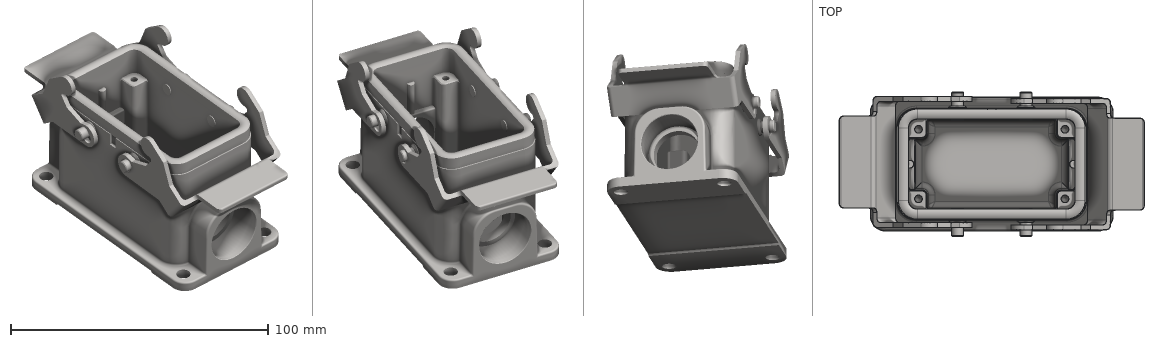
import cadquery as cq
import math

FLANGE_LENGTH = 94.4
FLANGE_WIDTH = 52.1
FLANGE_HEIGHT = 4.0
FLANGE_CORNER_RADIUS = 6.2
FLANGE_EDGE_RADIUS = 0.7
MOUNT_HOLE_DIAMETER = 5.6
MOUNT_HOLE_X = 41.0
MOUNT_HOLE_Y = 20.6
FOOT_RELIEF_HALF_LENGTH = 27.8
FOOT_RELIEF_HEIGHT = 0.7

BODY_LENGTH = 73.9
BODY_WIDTH = 43.6
BODY_CORNER_RADIUS = 7.7
BODY_TOP = 48.1
BODY_DRAFT_ANGLE = 0.2
LIP_LENGTH = 72.6
LIP_WIDTH = 42.8
LIP_CORNER_RADIUS = 7.4
LIP_WALL = 3.9
LIP_EDGE_Z = 53.1
LIP_CROWN_Z = 53.7

FLOOR_Z = 3.5
FLOOR_RADIUS = 2.5
CAVITY_BREAK_Z = 20.9
UPPER_DRAFT_ANGLE = 0.3
LOWER_DRAFT_ANGLE = 1.4
POST_DRAFT_ANGLE = 1.0
POST_TOP = 41.7
POST_FACE_X = 25.1
POST_FACE_Y = 10.1
POST_CORNER_RADIUS = 1.9
POST_TOP_CHAMFER = 0.4
PAD_TOP_RADIUS = 0.6
POST_ROOT_RADIUS = 1.0
POST_HOLE_X = 28.5
POST_HOLE_Y = 13.5
POST_HOLE_DIAMETER = 3.0
POST_HOLE_DEPTH = 11.9
DRILL_POINT_ANGLE = 118.0
PAD_FACE_X = 30.0
PAD_TOP = 27.9
RIB_DIAMETER = 3.0
RIB_X = 31.8

ENTRY_HALF_WIDTH = 14.1
ENTRY_FOOT_HALF_WIDTH = 14.6
ENTRY_SHOULDER_Z = 21.6
ENTRY_SHOULDER_RADIUS = 10.0
ENTRY_EDGE_RADIUS = 0.8

ROOT_RADIUS = 0.7

BORE_Z = 17.0
BORE_DIAMETER = 18.5
COUNTERBORE_DIAMETER = 22.5
COUNTERBORE_DEPTH = 13.0
COUNTERBORE_CHAMFER = 0.2

NOTCH_WIDTH = 3.3
NOTCH_BOTTOM = 43.2
NOTCH_DEPTH = 1.1

PIN_DIAMETER = 4.7
PIN_X = 13.3
PIN_Z = 43.8
PIN_SPAN = 56.1
PIN_TIP_CHAMFER = 0.4
PIN_INNER_Y = 17.2
COLLAR_DIAMETER = 7.0
COLLAR_FACE_Y = 22.7
COLLAR_CHAMFER = 0.7

SHEET = 1.9
LEVER_WIDTH = 51.0
LEVER_SHIFT_Y = 0.8
LEVER_TILT = 0.8
HOOK_X = 25.0
HOOK_Z = 59.4
HOOK_RADIUS = 4.0
EYE_X = 12.5
EYE_Z = 42.6
EYE_RADIUS = 4.9
SLOT_END_X = 12.0
SLOT_END_Z = 41.9
WEB_FOOT_X = 38.9
WEB_FOOT_Z = 32.8
WEB_LENGTH = 12.1
WEB_LEAN = 36.9
WEB_CORNER_RADIUS = 1.9
HANDLE_END_X = 59.3
HANDLE_TOP_Z = 45.1
HANDLE_WIDTH = 35.8
HANDLE_CORNER_RADIUS = 1.9
HANDLE_END_RADIUS = 0.7
BEND_TOP_RADIUS = 2.6
BEND_UNDERSIDE_RADIUS = 1.4
HANDLE_FLARE_RADIUS = 1.8


def rounded_rectangle(length, width, radius):
    return cq.Sketch().rect(length, width).vertices().fillet(radius)


def make_flange():
    return (
        cq.Workplane("XY")
        .placeSketch(rounded_rectangle(FLANGE_LENGTH, FLANGE_WIDTH, FLANGE_CORNER_RADIUS))
        .extrude(FLANGE_HEIGHT)
        .faces(">Z").edges().fillet(FLANGE_EDGE_RADIUS)
    )


def make_foot_relief():
    """Shallow recess across the underside of the flange, with sloping ends."""
    relief_foot = FOOT_RELIEF_HALF_LENGTH + FOOT_RELIEF_HEIGHT
    return (
        cq.Workplane("XZ")
        .polyline([
            (-relief_foot, 0),
            (relief_foot, 0),
            (FOOT_RELIEF_HALF_LENGTH, FOOT_RELIEF_HEIGHT),
            (-FOOT_RELIEF_HALF_LENGTH, FOOT_RELIEF_HEIGHT),
        ])
        .close()
        .extrude(FLANGE_WIDTH / 2, both=True)
    )


def make_body():
    return (
        cq.Workplane("XY", origin=(0, 0, FLANGE_HEIGHT))
        .placeSketch(rounded_rectangle(BODY_LENGTH, BODY_WIDTH, BODY_CORNER_RADIUS))
        .extrude(BODY_TOP - FLANGE_HEIGHT, taper=BODY_DRAFT_ANGLE)
    )


def make_lip():
    """Ring around the opening with a domed crown, swept along the middle of its wall."""
    half_x = (LIP_LENGTH - LIP_WALL) / 2
    half_y = (LIP_WIDTH - LIP_WALL) / 2
    radius = LIP_CORNER_RADIUS - LIP_WALL / 2
    path = (
        cq.Workplane("XY", origin=(0, 0, BODY_TOP))
        .moveTo(0, -half_y)
        .lineTo(half_x - radius, -half_y)
        .tangentArcPoint((half_x, radius - half_y), relative=False)
        .lineTo(half_x, half_y - radius)
        .tangentArcPoint((half_x - radius, half_y), relative=False)
        .lineTo(radius - half_x, half_y)
        .tangentArcPoint((-half_x, half_y - radius), relative=False)
        .lineTo(-half_x, radius - half_y)
        .tangentArcPoint((radius - half_x, -half_y), relative=False)
        .close()
    )
    profile = (
        cq.Workplane("YZ")
        .moveTo(-half_y - LIP_WALL / 2, BODY_TOP)
        .lineTo(-half_y - LIP_WALL / 2, LIP_EDGE_Z)
        .threePointArc((-half_y, LIP_CROWN_Z), (-half_y + LIP_WALL / 2, LIP_EDGE_Z))
        .lineTo(-half_y + LIP_WALL / 2, BODY_TOP)
        .close()
    )
    return profile.sweep(path)


def make_entry(end):
    """Cable entry boss on the end of the housing at x = end * FLANGE_LENGTH / 2."""
    flat_half = ENTRY_HALF_WIDTH - ENTRY_SHOULDER_RADIUS
    top_z = ENTRY_SHOULDER_Z + ENTRY_SHOULDER_RADIUS
    boss = (
        cq.Workplane("YZ")
        .moveTo(-ENTRY_FOOT_HALF_WIDTH, 0)
        .lineTo(ENTRY_FOOT_HALF_WIDTH, 0)
        .lineTo(ENTRY_HALF_WIDTH, ENTRY_SHOULDER_Z)
        .radiusArc((flat_half, top_z), -ENTRY_SHOULDER_RADIUS)
        .lineTo(-flat_half, top_z)
        .radiusArc((-ENTRY_HALF_WIDTH, ENTRY_SHOULDER_Z), -ENTRY_SHOULDER_RADIUS)
        .close()
        .extrude(end * FLANGE_LENGTH / 2)
    )
    outer_face = ">X" if end > 0 else "<X"
    return boss.faces(outer_face).edges("not <Z").fillet(ENTRY_EDGE_RADIUS)


def make_post(x_side, y_side):
    """Drafted corner post that carries a screw hole."""
    length = BODY_LENGTH / 2 - POST_FACE_X
    width = BODY_WIDTH / 2 - POST_FACE_Y
    post = (
        cq.Workplane("XY")
        .placeSketch(rounded_rectangle(length, width, POST_CORNER_RADIUS))
        .extrude(-POST_TOP, taper=-POST_DRAFT_ANGLE)
        .faces(">Z").edges().chamfer(POST_TOP_CHAMFER)
    )
    return post.translate((x_side * (POST_FACE_X + length / 2), y_side * (POST_FACE_Y + width / 2), POST_TOP))


def make_pad(x_side):
    """Drafted thickening of the end wall around the cable bore, from post to post."""
    depth = BODY_LENGTH / 2 - PAD_FACE_X
    pad = (
        cq.Workplane("XY")
        .rect(depth, 2 * POST_FACE_Y + 2 * POST_CORNER_RADIUS)
        .extrude(-PAD_TOP, taper=-POST_DRAFT_ANGLE)
        .faces(">Z").edges("|Y").fillet(PAD_TOP_RADIUS)
    )
    return pad.translate((x_side * (PAD_FACE_X + depth / 2), 0, PAD_TOP))


def root_edges():
    """Inside corners between flange and body, flange and entries, and body and entries."""
    half_x = BODY_LENGTH / 2
    half_y = BODY_WIDTH / 2
    margin = 0.4
    entry_top = ENTRY_SHOULDER_Z + ENTRY_SHOULDER_RADIUS
    edges = cq.selectors.BoxSelector(
        (-FLANGE_LENGTH / 2 + 2 * ENTRY_EDGE_RADIUS, -half_y - margin, FLANGE_HEIGHT - margin),
        (FLANGE_LENGTH / 2 - 2 * ENTRY_EDGE_RADIUS, half_y + margin, FLANGE_HEIGHT + margin),
    )
    for end in (-1, 1):
        edges = edges + cq.selectors.BoxSelector(
            (end * (half_x - margin), -half_y, FLANGE_HEIGHT - margin),
            (end * (half_x + margin), half_y, entry_top + margin),
            boundingbox=True,
        )
    return edges


def make_cavity():
    """Space inside the housing, leaving the corner posts, end pads and end ribs standing."""
    length = LIP_LENGTH - 2 * LIP_WALL
    width = LIP_WIDTH - 2 * LIP_WALL
    radius = LIP_CORNER_RADIUS - LIP_WALL
    upper_depth = BODY_TOP - CAVITY_BREAK_Z
    inset = upper_depth * math.tan(math.radians(UPPER_DRAFT_ANGLE))
    cavity = (
        cq.Workplane("XY", origin=(0, 0, BODY_TOP))
        .placeSketch(rounded_rectangle(length, width, radius))
        .extrude(-upper_depth, taper=UPPER_DRAFT_ANGLE)
    )
    lower_cavity = (
        cq.Workplane("XY", origin=(0, 0, CAVITY_BREAK_Z))
        .placeSketch(rounded_rectangle(length - 2 * inset, width - 2 * inset, radius - inset))
        .extrude(FLOOR_Z - CAVITY_BREAK_Z, taper=LOWER_DRAFT_ANGLE)
    )
    cavity = cavity.union(lower_cavity)
    for x_side in (-1, 1):
        cavity = cavity.cut(make_pad(x_side))
        for y_side in (-1, 1):
            cavity = cavity.cut(make_post(x_side, y_side))
    for x_side in (-1, 1):
        for y_side in (-1, 1):
            beside_long_wall = cq.selectors.BoxSelector(
                (x_side * (POST_FACE_X - 1.2), y_side * (width / 2 - 1.2), FLOOR_Z),
                (x_side * (POST_FACE_X + 1.2), y_side * (width / 2 + 1.2), POST_TOP - 1.2),
            )
            beside_end_wall = cq.selectors.BoxSelector(
                (x_side * (length / 2 - 1.2), y_side * (POST_FACE_Y - 1.2), PAD_TOP + 1.2),
                (x_side * (length / 2 + 1.2), y_side * (POST_FACE_Y + 1.2), POST_TOP - 1.2),
            )
            cavity = cavity.edges(beside_long_wall + beside_end_wall).fillet(POST_ROOT_RADIUS)
    cavity = cavity.faces("<Z").edges().fillet(FLOOR_RADIUS)
    ribs = (
        cq.Workplane("XY")
        .pushPoints([(-RIB_X, 0), (RIB_X, 0)])
        .circle(RIB_DIAMETER / 2)
        .extrude(POST_TOP)
    )
    return cavity.cut(ribs)


def make_bores():
    """Cable bore through the whole length and a counterbore in each end."""
    half = FLANGE_LENGTH / 2
    counterbore_radius = COUNTERBORE_DIAMETER / 2
    profile = [
        (-half, 0),
        (-half, counterbore_radius + COUNTERBORE_CHAMFER),
        (-half + COUNTERBORE_CHAMFER, counterbore_radius),
        (-half + COUNTERBORE_DEPTH, counterbore_radius),
        (-half + COUNTERBORE_DEPTH, BORE_DIAMETER / 2),
    ]
    mirrored = [(-x, y) for x, y in reversed(profile)]
    return (
        cq.Workplane("XY")
        .polyline(profile + mirrored)
        .close()
        .revolve(360, (0, 0), (1, 0))
        .translate((0, 0, BORE_Z))
    )


def make_post_holes():
    """Blind screw holes with a drill point in the tops of the corner posts."""
    radius = POST_HOLE_DIAMETER / 2
    point_depth = radius / math.tan(math.radians(DRILL_POINT_ANGLE / 2))
    hole = (
        cq.Workplane("XZ")
        .polyline([
            (0, POST_TOP),
            (radius, POST_TOP),
            (radius, POST_TOP - POST_HOLE_DEPTH),
            (0, POST_TOP - POST_HOLE_DEPTH - point_depth),
        ])
        .close()
        .revolve(360, (0, 0), (0, 1))
    )
    places = cq.Workplane("XY").rect(2 * POST_HOLE_X, 2 * POST_HOLE_Y, forConstruction=True).vertices()
    return places.eachpoint(lambda place: hole.val().moved(place), combine=False)


def make_mount_holes():
    return (
        cq.Workplane("XY")
        .rect(2 * MOUNT_HOLE_X, 2 * MOUNT_HOLE_Y, forConstruction=True)
        .vertices()
        .circle(MOUNT_HOLE_DIAMETER / 2)
        .extrude(FLANGE_HEIGHT)
    )


def make_notch(side):
    notch_outer_y = BODY_WIDTH / 2
    top_half_width = notch_outer_y - (BODY_TOP - FLANGE_HEIGHT) * math.tan(math.radians(BODY_DRAFT_ANGLE))
    inner_y = top_half_width - NOTCH_DEPTH
    return (
        cq.Workplane("XY")
        .box(NOTCH_WIDTH, notch_outer_y - inner_y, BODY_TOP - NOTCH_BOTTOM, centered=(True, True, False))
        .translate((0, side * (notch_outer_y + inner_y) / 2, NOTCH_BOTTOM))
    )


def make_pin(x_side, y_side):
    """Pivot pin through the housing wall with a chamfered tip and a collar outside the wall."""
    pin_radius = PIN_DIAMETER / 2
    tip_y = PIN_SPAN / 2
    collar_radius = COLLAR_DIAMETER / 2
    profile = [
        (0, PIN_INNER_Y),
        (pin_radius, PIN_INNER_Y),
        (pin_radius, BODY_WIDTH / 2 - LIP_WALL),
        (collar_radius, BODY_WIDTH / 2 - LIP_WALL),
        (collar_radius, COLLAR_FACE_Y - COLLAR_CHAMFER),
        (collar_radius - COLLAR_CHAMFER, COLLAR_FACE_Y),
        (pin_radius, COLLAR_FACE_Y),
        (pin_radius, tip_y - PIN_TIP_CHAMFER),
        (pin_radius - PIN_TIP_CHAMFER, tip_y),
        (0, tip_y),
    ]
    pin = cq.Workplane("XY").polyline(profile).close().revolve(360, (0, 0), (0, 1))
    if y_side < 0:
        pin = pin.mirror("XZ")
    return pin.translate((x_side * PIN_X, 0, PIN_Z))


def make_housing():
    housing = make_flange().union(make_body())
    for end in (-1, 1):
        housing = housing.union(make_entry(end))
    housing = housing.edges(root_edges()).fillet(ROOT_RADIUS)
    housing = housing.union(make_lip())
    housing = housing.cut(make_cavity())
    housing = housing.cut(make_bores())
    housing = housing.cut(make_post_holes())
    housing = housing.cut(make_mount_holes())
    housing = housing.cut(make_foot_relief())
    for y_side in (-1, 1):
        housing = housing.cut(make_notch(y_side))
        for x_side in (-1, 1):
            housing = housing.union(make_pin(x_side, y_side))
    return housing


def make_side_plate_pair():
    """Hook-shaped side plates, as one profile through the lever's whole width."""
    lean = math.radians(WEB_LEAN)
    web_head = (WEB_FOOT_X + WEB_LENGTH * math.sin(lean), WEB_FOOT_Z + WEB_LENGTH * math.cos(lean))
    outline = (
        cq.Workplane("XZ")
        .moveTo(WEB_FOOT_X, WEB_FOOT_Z)
        .lineTo(*web_head)
        .lineTo(38.3, 48.1)
        .lineTo(34.5, 57.5)
        .lineTo(HOOK_X + HOOK_RADIUS * 0.6, HOOK_Z + HOOK_RADIUS * 0.8)
        .threePointArc((HOOK_X - HOOK_RADIUS, HOOK_Z), (HOOK_X, HOOK_Z - HOOK_RADIUS))
        .lineTo(26.2, HOOK_Z - HOOK_RADIUS)
        .threePointArc((27.2, 54.8), (27.0, 53.5))
        .lineTo(24.0, 49.6)
        .lineTo(15.8, 46.7)
        .lineTo(EYE_X, EYE_Z + EYE_RADIUS)
        .threePointArc((EYE_X - EYE_RADIUS, EYE_Z), (EYE_X, EYE_Z - EYE_RADIUS))
        .lineTo(32.4, EYE_Z - EYE_RADIUS)
        .close()
    )
    return outline.extrude(LEVER_WIDTH / 2, both=True)


def make_lever():
    """Lever on the +X side: two hooked plates, a leaning web between them and a handle."""
    lean = math.radians(WEB_LEAN)
    lever = make_side_plate_pair()
    reach = 71.2
    gap = (
        cq.Workplane("XY")
        .box(reach, LEVER_WIDTH - 2 * SHEET, reach, centered=(False, True, True))
        .edges("|Z and >X").fillet(WEB_CORNER_RADIUS)
        .translate((-reach - SHEET, 0, 0))
        .rotate((0, 0, 0), (0, 1, 0), WEB_LEAN)
        .translate((WEB_FOOT_X, 0, WEB_FOOT_Z))
    )
    web_direction = cq.Vector(math.sin(lean), 0, math.cos(lean))
    lever = lever.edges(cq.selectors.ParallelDirSelector(web_direction)).fillet(WEB_CORNER_RADIUS)
    lever = lever.cut(gap)
    return lever.union(make_handle()).cut(make_pin_slot())


def make_flare_mask():
    """Prism square to the web whose outline widens in arcs from the handle to the web's upper edge."""
    lean = math.radians(WEB_LEAN)
    web_plane = cq.Plane(
        origin=(WEB_FOOT_X, 0, WEB_FOOT_Z),
        xDir=(0, 1, 0),
        normal=(math.cos(lean), 0, -math.sin(lean)),
    )
    narrow = HANDLE_WIDTH / 2
    wide = narrow + HANDLE_FLARE_RADIUS
    arc_top = WEB_LENGTH + HANDLE_FLARE_RADIUS
    return (
        cq.Workplane(web_plane)
        .moveTo(-wide, 0)
        .lineTo(-wide, WEB_LENGTH)
        .radiusArc((-narrow, arc_top), -HANDLE_FLARE_RADIUS)
        .lineTo(-narrow, HANDLE_END_X)
        .lineTo(narrow, HANDLE_END_X)
        .lineTo(narrow, arc_top)
        .radiusArc((wide, WEB_LENGTH), -HANDLE_FLARE_RADIUS)
        .lineTo(wide, 0)
        .close()
        .extrude(HANDLE_END_X, both=True)
    )


def make_handle():
    """Flat handle that bends down along the upper part of the web."""
    lean = math.radians(WEB_LEAN)
    slope = math.tan(lean)
    inner_foot_x = WEB_FOOT_X - SHEET / math.cos(lean)
    outer_height = HANDLE_TOP_Z - SHEET - WEB_FOOT_Z
    inner_height = HANDLE_TOP_Z - WEB_FOOT_Z
    bend_drop = WEB_LENGTH / 2
    handle = (
        cq.Workplane("XZ")
        .polyline([
            (HANDLE_END_X, HANDLE_TOP_Z),
            (HANDLE_END_X, HANDLE_TOP_Z - SHEET),
            (WEB_FOOT_X + outer_height * slope, HANDLE_TOP_Z - SHEET),
            (WEB_FOOT_X + bend_drop * slope, WEB_FOOT_Z + bend_drop),
            (inner_foot_x + bend_drop * slope, WEB_FOOT_Z + bend_drop),
            (inner_foot_x + inner_height * slope, HANDLE_TOP_Z),
        ])
        .close()
        .extrude(LEVER_WIDTH / 2, both=True)
    )
    bend_x = WEB_FOOT_X + outer_height * slope
    bend_z = HANDLE_TOP_Z - SHEET
    underside = cq.selectors.BoxSelector(
        (bend_x - SHEET / 2, -1.2, bend_z - SHEET / 2),
        (bend_x + SHEET / 2, 1.2, bend_z + SHEET / 2),
    )
    handle = handle.edges(underside).fillet(BEND_UNDERSIDE_RADIUS)
    handle = handle.faces(">Z").edges("|Y and <X").fillet(BEND_TOP_RADIUS)
    handle = handle.faces(">X").edges(">Z").fillet(HANDLE_END_RADIUS)
    return handle.intersect(make_flare_mask()).intersect(make_corner_mask())


def make_corner_mask():
    """Block with rounded corners at the handle's end and extra width at the handle's flare."""
    flare_end_x = HANDLE_END_X - 2 * HANDLE_CORNER_RADIUS
    plan = (
        rounded_rectangle(2 * HANDLE_END_X, HANDLE_WIDTH, HANDLE_CORNER_RADIUS)
        .reset()
        .rect(2 * flare_end_x, LEVER_WIDTH)
    )
    return cq.Workplane("XY").placeSketch(plan).extrude(HANDLE_TOP_Z)


def make_pin_slot():
    """Slot in both side plates that lets the lever slide on its pins."""
    run_x = PIN_X - SLOT_END_X
    run_z = PIN_Z - SLOT_END_Z
    return (
        cq.Workplane("XZ", origin=((PIN_X + SLOT_END_X) / 2, 0, (PIN_Z + SLOT_END_Z) / 2))
        .slot2D(math.hypot(run_x, run_z) + PIN_DIAMETER, PIN_DIAMETER, math.degrees(math.atan2(run_z, run_x)))
        .extrude(LEVER_WIDTH, both=True)
    )


housing = make_housing()
lever = make_lever()
right_lever = lever.rotate((PIN_X, 0, PIN_Z), (PIN_X, 1, PIN_Z), LEVER_TILT)
left_lever = lever.mirror("YZ").translate((0, LEVER_SHIFT_Y, 0))

result = cq.Compound.makeCompound([housing.val(), right_lever.val(), left_lever.val()])